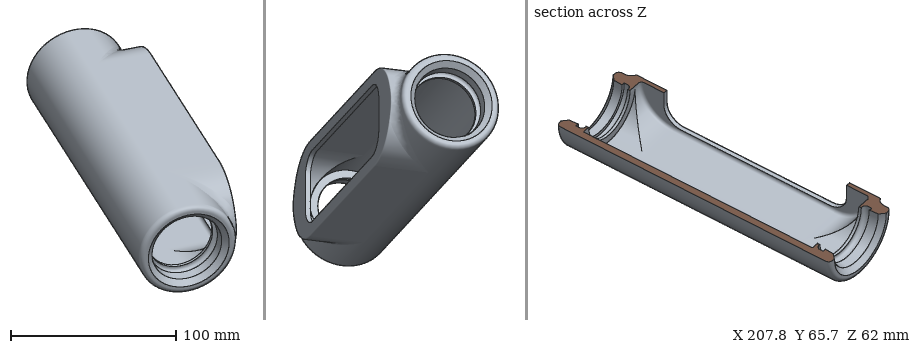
import cadquery as cq

length = 207.77
half_length = length / 2
outer_diameter = 61.98
outer_radius = outer_diameter / 2
rim_fillet = 3.2

collar_height = 34.8
collar_straight = 122.4
collar_length = collar_straight + outer_diameter
blend_radius = 6.47
collar_edge_fillet = 0.74

mouth_radius = 26.0
chamfer_depth = 3.4
socket_radius = 22.4
socket_end_radius = 22.0
socket_depth = 10.0
relief_radius = 48.41 / 2
relief_cove_radius = 4.98 / 2
relief_depth = 15.0
throat_radius = 20.7
throat_depth = 17.0

cavity_radius = 25.8
chamber_length = collar_straight + 2 * cavity_radius
chamber_fillet = 2.5

plate_thickness = 3.2
chamber_height = collar_height - plate_thickness
opening_length = 138.6
opening_width = 46.2
opening_corner_radius = 13.0


def cylinder_along_x(radius, half_span):
    """Cylinder on the tube axis, centred on the origin."""
    return cq.Workplane("YZ").circle(radius).extrude(half_span, both=True)


def stadium_toward_y(total_length, width, height):
    """Stadium prism that stands on the tube axis and rises along +Y."""
    return cq.Workplane("XZ").slot2D(total_length, width).extrude(-height)


def outer_body():
    """Tube and collar with a concave blend where the round collar ends meet the tube."""
    tube = cylinder_along_x(outer_radius, half_length).edges().fillet(rim_fillet)
    tall_height = collar_height + 2 * blend_radius
    body = tube.union(stadium_toward_y(collar_length, outer_diameter, tall_height))
    body = body.edges("%ELLIPSE").fillet(blend_radius)
    trim = (
        cq.Workplane("XZ", origin=(0, collar_height, 0))
        .rect(length, 2 * outer_diameter)
        .extrude(-tall_height)
    )
    return body.cut(trim).faces(">Y").edges().fillet(collar_edge_fillet)


def cavity():
    """Bore between the two throats, joined to the chamber under the collar plate."""
    bore = cylinder_along_x(cavity_radius, half_length - throat_depth)
    chamber = stadium_toward_y(chamber_length, 2 * cavity_radius, chamber_height)
    chamber = chamber.faces(">Y").edges().fillet(chamber_fillet)
    return bore.union(chamber)


def opening():
    """Rounded rectangular opening through the collar plate."""
    return (
        cq.Workplane("XZ")
        .rect(opening_length, opening_width)
        .extrude(-collar_height)
        .edges("|Y")
        .fillet(opening_corner_radius)
    )


def left_mouth():
    """Void at the -X end: chamfer, tapered socket, coved relief groove and throat."""
    face = -half_length
    socket_end = face + socket_depth
    relief_end = face + relief_depth
    throat_end = face + throat_depth
    profile = (
        cq.Workplane("XY")
        .moveTo(face, 0)
        .lineTo(face, mouth_radius)
        .lineTo(face + chamfer_depth, socket_radius)
        .lineTo(socket_end, socket_end_radius)
        .lineTo(socket_end, relief_radius)
        .lineTo(relief_end - relief_cove_radius, relief_radius)
        .radiusArc((relief_end, relief_radius - relief_cove_radius), relief_cove_radius)
        .lineTo(relief_end, throat_radius)
        .lineTo(throat_end, throat_radius)
        .lineTo(throat_end, 0)
        .close()
    )
    return profile.revolve(360, (0, 0, 0), (1, 0, 0))


mouth = left_mouth()
result = outer_body().cut(cavity()).cut(opening()).cut(mouth).cut(mouth.mirror("YZ"))